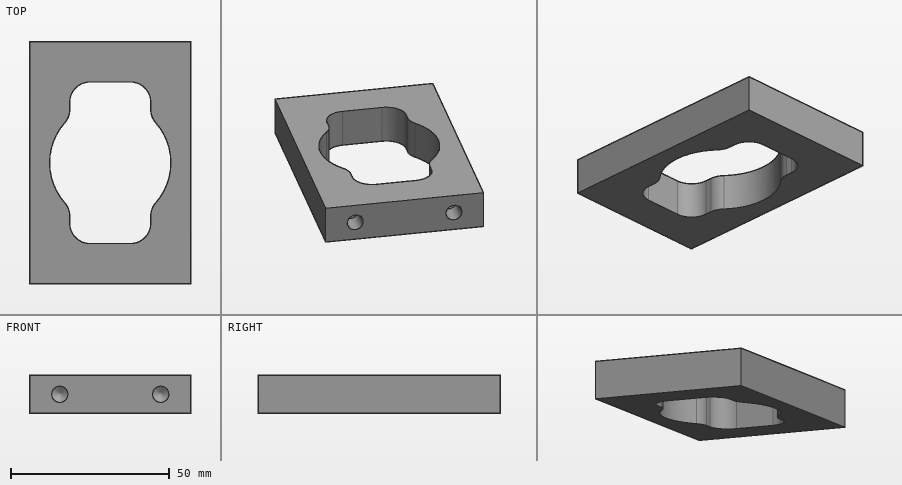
import cadquery as cq
import math

width = 50.8
length = 76.2
height = 12.05

window_width = width / 2
window_length = length * 2 / 3
bore_diameter = length / 2
blend_radius = 6.3

hole_diameter = 5.1
hole_spacing = 31.8
hole_depth = 7.6
drill_point_angle = 118.0


def make_window():
    """Through cutter centred on the plate, with every upright edge rounded."""
    slot = cq.Workplane("XY").rect(window_width, window_length).extrude(height)
    bore = cq.Workplane("XY").circle(bore_diameter / 2).extrude(height)
    bore = bore.rotate((0, 0, 0), (0, 0, 1), 90)
    return slot.union(bore).edges("|Z").fillet(blend_radius)


def make_drilled_hole(x):
    """Cutter for one blind hole with a conical bottom, entering the front end at x."""
    radius = hole_diameter / 2
    point_length = radius / math.tan(math.radians(drill_point_angle / 2))
    half_profile = (
        cq.Workplane("XY")
        .lineTo(radius, 0)
        .lineTo(radius, hole_depth)
        .lineTo(0, hole_depth + point_length)
        .close()
    )
    return half_profile.revolve(360, (0, 0), (0, 1)).translate((x, -length / 2, height / 2))


result = cq.Workplane("XY").box(width, length, height, centered=(True, True, False))
result = result.cut(make_window())
for side in (-1, 1):
    result = result.cut(make_drilled_hole(side * hole_spacing / 2))